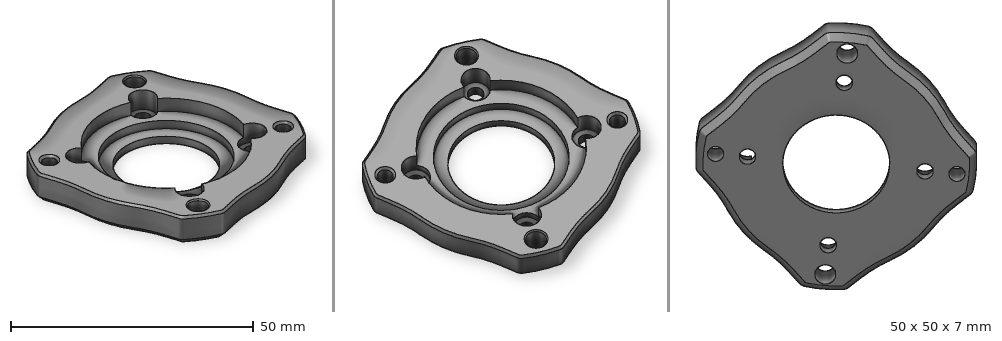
import cadquery as cq
import math

thickness = 7.0
bulge_radius = 25.0
side_distance = 23.5
blend_radius = 30.0
corner_radius = 29.0
corner_fillet = 2.0
top_chamfer = 0.5
bottom_chamfer = 1.5

recess_diameter = 35.1
recess_depth = 3.2
seat_diameter = 28.0
seat_depth = 5.2
bore_diameter = 22.05

screw_offset = 13.0
screw_diameter = 3.4
screw_head_diameter = 6.0
screw_head_depth = 4.7

corner_hole_circle_radius = 25.0
large_hole_diameter = 4.3
large_sink_diameter = 4.9
small_hole_diameter = 3.3
small_sink_diameter = 4.3


def polar_point(radius, angle, center=(0, 0)):
    return center[0] + radius * math.cos(angle), center[1] + radius * math.sin(angle)


def turned(point, angle):
    """Point rotated about the plate axis."""
    x, y = point
    return x * math.cos(angle) - y * math.sin(angle), x * math.sin(angle) + y * math.cos(angle)


def half_side_points():
    """Points along the +X side, from the end of its bulge to the start of the corner arc."""
    blend_x = side_distance + blend_radius
    blend_angle = math.acos(blend_x / (bulge_radius + blend_radius))
    blend_y = blend_x * math.tan(blend_angle)
    bulge_end = polar_point(bulge_radius, blend_angle)
    blend_middle = polar_point(blend_radius, math.pi + blend_angle / 2, (blend_x, blend_y))
    flat_start = (side_distance, blend_y)

    fillet_x = side_distance - corner_fillet
    fillet_angle = math.acos(fillet_x / (corner_radius - corner_fillet))
    fillet_y = fillet_x * math.tan(fillet_angle)
    flat_end = (side_distance, fillet_y)
    fillet_middle = polar_point(corner_fillet, fillet_angle / 2, (fillet_x, fillet_y))
    fillet_end = polar_point(corner_radius, fillet_angle)
    return [bulge_end, blend_middle, flat_start, flat_end, fillet_middle, fillet_end]


def add_side(outline, angle):
    """Continue the outline along the side turned by angle and around the corner after it."""
    upper_half = half_side_points()
    lower_half = [(x, -y) for x, y in upper_half]
    next_side_start = turned(lower_half[-1], math.pi / 2)
    bulge_middle = (bulge_radius, 0)
    corner_middle = polar_point(corner_radius, math.pi / 4)

    path = lower_half[::-1] + [bulge_middle] + upper_half + [corner_middle, next_side_start]
    (
        _, fillet_in, flat_in, flat_out, blend_in, bulge_start,
        bulge_top, bulge_end, blend_out, flat_start, flat_end, fillet_out, fillet_end,
        corner_top, corner_end,
    ) = [turned(point, angle) for point in path]
    return (
        outline
        .threePointArc(fillet_in, flat_in)
        .lineTo(*flat_out)
        .threePointArc(blend_in, bulge_start)
        .threePointArc(bulge_top, bulge_end)
        .threePointArc(blend_out, flat_start)
        .lineTo(*flat_end)
        .threePointArc(fillet_out, fillet_end)
        .threePointArc(corner_top, corner_end)
    )


def plate():
    start_x, start_y = half_side_points()[-1]
    outline = cq.Workplane("XY").moveTo(start_x, -start_y)
    for side in range(4):
        outline = add_side(outline, side * math.pi / 2)
    body = outline.close().extrude(thickness)
    return body.faces(">Z").chamfer(top_chamfer).faces("<Z").chamfer(bottom_chamfer)


def pocket(diameter, depth, x=0.0, y=0.0):
    """Cylinder reaching down from the top face."""
    return cq.Workplane("XY", origin=(x, y, thickness)).circle(diameter / 2).extrude(-depth)


def countersunk_hole(diameter, sink_diameter, x, y):
    """Through hole with a 45 degree countersink at the top face."""
    radius = diameter / 2
    sink_radius = sink_diameter / 2
    sink_bottom = thickness - (sink_radius - radius)
    profile = [(0, 0), (radius, 0), (radius, sink_bottom), (sink_radius, thickness), (0, thickness)]
    hole = cq.Workplane("XZ").polyline(profile).close().revolve(360, (0, 0), (0, 1))
    return hole.translate((x, y, 0))


result = plate()

result = result.cut(pocket(recess_diameter, recess_depth))
result = result.cut(pocket(seat_diameter, seat_depth))
result = result.cut(pocket(bore_diameter, thickness))

for x in (-screw_offset, screw_offset):
    for y in (-screw_offset, screw_offset):
        result = result.cut(pocket(screw_head_diameter, screw_head_depth, x, y))
        result = result.cut(pocket(screw_diameter, thickness, x, y))

corner_hole_offset = corner_hole_circle_radius * math.sqrt(0.5)
for offset in (-corner_hole_offset, corner_hole_offset):
    result = result.cut(countersunk_hole(small_hole_diameter, small_sink_diameter, offset, offset))
    result = result.cut(countersunk_hole(large_hole_diameter, large_sink_diameter, offset, -offset))